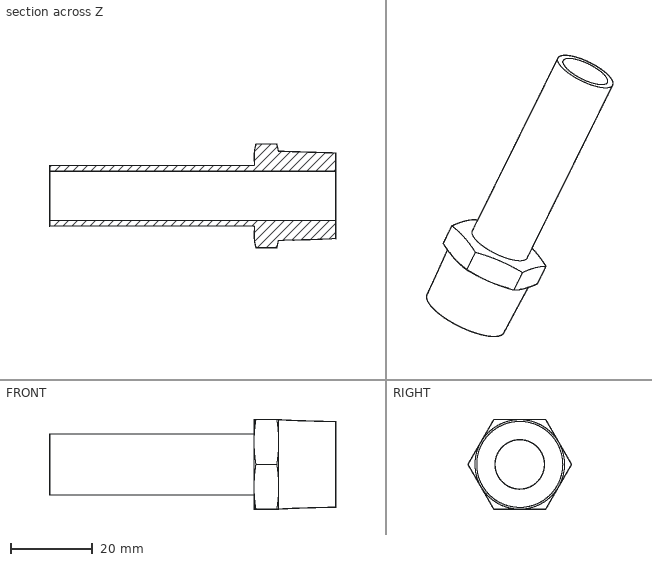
import cadquery as cq
import math

total_length = 70.0
tube_diameter = 15.0
bore_diameter = 12.05

hex_start = 50.0
hex_width = 6.0
hex_across_flats = 22.0
hex_end = hex_start + hex_width
hex_across_corners = hex_across_flats / math.cos(math.radians(30))
chamfer_angle = 15.0

taper_large_diameter = 21.9
taper_ratio = 1 / 16
taper_length = total_length - hex_end
taper_small_diameter = taper_large_diameter - taper_ratio * taper_length


def cylinder(diameter, start, length):
    """Cylinder along X."""
    return cq.Workplane("YZ", origin=(start, 0, 0)).circle(diameter / 2).extrude(length)


def revolve_about_x(points):
    """Solid of revolution from a closed outline of (x, radius) points."""
    return cq.Workplane("XY").polyline(points).close().revolve(360, (0, 0, 0), (1, 0, 0))


def hex_collar():
    """Hexagonal prism with conical chamfers on the corners of both faces."""
    prism = (
        cq.Workplane("YZ", origin=(hex_start, 0, 0))
        .polygon(6, hex_across_corners)
        .extrude(hex_width)
    )
    face_radius = hex_across_flats / 2
    corner_radius = hex_across_corners / 2
    chamfer_depth = (corner_radius - face_radius) * math.tan(math.radians(chamfer_angle))
    envelope = revolve_about_x([
        (hex_start, 0),
        (hex_start, face_radius),
        (hex_start + chamfer_depth, corner_radius),
        (hex_end - chamfer_depth, corner_radius),
        (hex_end, face_radius),
        (hex_end, 0),
    ])
    return prism.intersect(envelope)


def tapered_end():
    return revolve_about_x([
        (hex_end, 0),
        (hex_end, taper_large_diameter / 2),
        (total_length, taper_small_diameter / 2),
        (total_length, 0),
    ])


tube = cylinder(tube_diameter, 0, hex_start)
bore = cylinder(bore_diameter, 0, total_length)
result = tube.union(hex_collar()).union(tapered_end()).cut(bore)